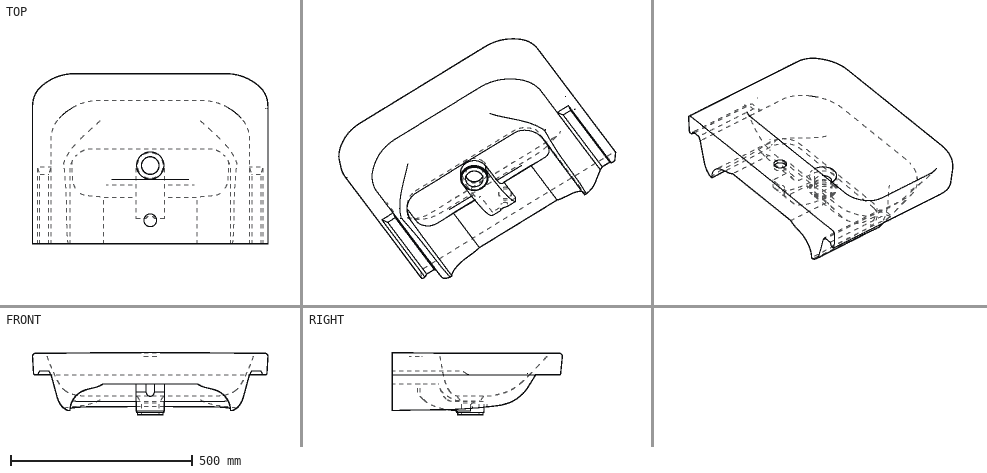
import cadquery as cq
import math


WIDTH = 650.0
DEPTH = 470.0
HEIGHT = 172.1
CROWN_RISE = 1.5
BASE_Z = CROWN_RISE - HEIGHT

RIM_HEIGHT = 60.5
RIM_CORNER = (118.0, 92.0)
SIDE_DRAFT = 3.0
FRONT_DRAFT = 5.0
RIM_TOP_RADIUS = 10.0
RIM_BOTTOM_RADIUS = 5.0

BASIN_LEVELS = [
    (0.0, 286.0, 130.0, 434.0, (78.0, 64.0)),
    (-30.0, 277.0, 136.0, 408.0, (84.0, 78.0)),
    (-60.0, 264.0, 141.0, 379.0, (88.0, 84.0)),
    (-90.0, 248.0, 150.0, 347.0, (92.0, 78.0)),
    (-110.0, 225.0, 162.0, 310.0, (95.0, 56.0)),
    (-118.0, 190.0, 177.0, 277.0, (85.0, 36.0)),
]
LIP_RADIUS = 7.0
SHELL_THICKNESS = 15.0

DECK_DEPTH = BASIN_LEVELS[0][2] - LIP_RADIUS
CROWN_HALF_WIDTH = 240.0
TAP_Y = 65.0
TAP_DIAMETER = 35.0
TAP_DEPTH = 10.0

HULL_TOP_Z = -50.0
FOOT_Z = -159.0
HULL_LEVELS = [
    (HULL_TOP_Z, 278.0, 401.0, (130.0, 110.0)),
    (-107.0, 262.0, 366.0, (165.0, 140.0)),
    (FOOT_Z, 250.0, 318.0, (190.0, 170.0)),
]
HULL_SIDE = [(277, HULL_TOP_Z), (268, -81), (261, -107), (251, -137), (239, -152), (227, FOOT_Z)]
HULL_FRONT = [(400, HULL_TOP_Z), (383, -84), (361, -112), (327, -136), (269, -148), (150, -156.5), (0, FOOT_Z)]
BELLY_Z = -147.0

RECESS_ROOF_Z = -85.0
RECESS_ROOF_HALF_WIDTH = 129.5
RECESS_FOOT_HALF_WIDTH = 221.0
RECESS_END_Y = 262.0
RECESS_END_RADIUS = 60.0

GROOVE_TOP_Z = -49.0
GROOVE_LENGTH = 212.0
GROOVE_END_RUN = 20.0
GROOVE_TOP_X = (280.0, 305.0)
GROOVE_BOTTOM_X = (273.5, 311.0)

DRAIN_Y = 216.0
DRAIN_DIAMETER = 48.0
DRAIN_SEAT_DIAMETER = 75.0
DRAIN_SEAT_DEPTH = 20.0
BOSS_DIAMETER = 71.0
COLLAR_DIAMETER = 76.0
COLLAR_Z = -164.0
RIB_BACK_Y = 70.0
RIB_WIDTH = 78.0
RIB_HEEL_Z = -107.5
RIB_TOE_Z = -160.0
RIB_TANGENTS = [(0.5, -1.0), (1.0, -0.1)]
NOTCH_DIAMETER = 25.0
NOTCH_LENGTH = 40.0


def corner(outline, center, start_direction, end_direction, radii):
    """Add a quarter ellipse that leaves along start_direction and arrives along end_direction."""
    reach_x, reach_y = radii
    out_x = start_direction[0] - end_direction[0]
    out_y = start_direction[1] - end_direction[1]
    diagonal = math.sqrt(0.5)
    middle = (center[0] + out_x * reach_x * diagonal, center[1] + out_y * reach_y * diagonal)
    end = (
        center[0] + start_direction[0] * reach_x,
        center[1] + start_direction[1] * reach_y,
    )
    return outline.spline([middle, end], tangents=[start_direction, end_direction], includeCurrent=True)


def front_rounded_outline(plane, half_width, front_y, radii):
    """Plan outline that is square at the back face and rounded at the front corners."""
    flat_x = half_width - radii[0]
    flat_y = front_y - radii[1]
    outline = plane.moveTo(-half_width, 0).lineTo(half_width, 0).lineTo(half_width, flat_y)
    outline = corner(outline, (flat_x, flat_y), (0, 1), (-1, 0), radii)
    outline = outline.lineTo(-flat_x, front_y)
    outline = corner(outline, (-flat_x, flat_y), (-1, 0), (0, -1), radii)
    return outline.close()


def rounded_outline(plane, half_width, back_y, front_y, radii):
    """Plan outline rounded at all four corners."""
    flat_x = half_width - radii[0]
    flat_back = back_y + radii[1]
    flat_front = front_y - radii[1]
    outline = plane.moveTo(-flat_x, back_y).lineTo(flat_x, back_y)
    outline = corner(outline, (flat_x, flat_back), (1, 0), (0, 1), radii)
    outline = outline.lineTo(half_width, flat_front)
    outline = corner(outline, (flat_x, flat_front), (0, 1), (-1, 0), radii)
    outline = outline.lineTo(-flat_x, front_y)
    outline = corner(outline, (-flat_x, flat_front), (-1, 0), (0, -1), radii)
    outline = outline.lineTo(-half_width, flat_back)
    outline = corner(outline, (-flat_x, flat_back), (0, -1), (1, 0), radii)
    return outline.close()


def loft_through(outlines, ruled=False):
    wires = [outline.val() for outline in outlines]
    return cq.Workplane(cq.Solid.makeLoft(wires, ruled))


def level(z):
    return cq.Workplane("XY", origin=(0, 0, z))


def cylinder(diameter, y, bottom_z, top_z):
    return level(bottom_z).center(0, y).circle(diameter / 2).extrude(top_z - bottom_z)


def rim_slab():
    rounding_share = RIM_TOP_RADIUS / (RIM_HEIGHT - RIM_TOP_RADIUS)
    top_half_width = WIDTH / 2 + SIDE_DRAFT * rounding_share
    top_front_y = DEPTH + FRONT_DRAFT * rounding_share
    top = front_rounded_outline(level(0), top_half_width, top_front_y, RIM_CORNER)
    bottom = front_rounded_outline(
        level(-RIM_HEIGHT), WIDTH / 2 - SIDE_DRAFT, DEPTH - FRONT_DRAFT, RIM_CORNER
    )
    slab = loft_through([top, bottom], ruled=True)
    slab = slab.faces(">Z").edges("not <Y").fillet(RIM_TOP_RADIUS)
    return slab.faces("<Z").edges("not <Y").fillet(RIM_BOTTOM_RADIUS)


def deck_crown():
    """Slight swelling of the deck that fades out toward the basin."""
    back = (
        cq.Workplane("XZ")
        .moveTo(-CROWN_HALF_WIDTH, 0)
        .threePointArc((0, CROWN_RISE), (CROWN_HALF_WIDTH, 0))
        .lineTo(CROWN_HALF_WIDTH, -RIM_TOP_RADIUS)
        .lineTo(-CROWN_HALF_WIDTH, -RIM_TOP_RADIUS)
        .close()
        .extrude(-DECK_DEPTH)
    )
    slope = (
        cq.Workplane("YZ")
        .polyline([(0, -RIM_TOP_RADIUS), (0, CROWN_RISE), (DECK_DEPTH, 0), (DECK_DEPTH, -RIM_TOP_RADIUS)])
        .close()
        .extrude(CROWN_HALF_WIDTH, both=True)
    )
    return back.intersect(slope)


def hull():
    """Rounded bowl shape trimmed to its side curve, arched underside and front curve."""
    rough = loft_through(
        [front_rounded_outline(level(z), half, front, radii) for z, half, front, radii in HULL_LEVELS]
    )
    left_side = [(-x, z) for x, z in reversed(HULL_SIDE)]
    across = (
        cq.Workplane("XZ")
        .moveTo(*HULL_SIDE[0])
        .spline(HULL_SIDE[1:], includeCurrent=True)
        .lineTo(RECESS_FOOT_HALF_WIDTH, FOOT_Z)
        .threePointArc((0, BELLY_Z), (-RECESS_FOOT_HALF_WIDTH, FOOT_Z))
        .lineTo(*left_side[0])
        .spline(left_side[1:], includeCurrent=True)
        .close()
        .extrude(-DEPTH)
    )
    along = (
        cq.Workplane("YZ")
        .moveTo(0, HULL_TOP_Z)
        .lineTo(*HULL_FRONT[0])
        .spline(HULL_FRONT[1:], includeCurrent=True)
        .close()
        .extrude(WIDTH / 2, both=True)
    )
    return rough.intersect(across).intersect(along)


def basin(growth=0.0):
    """Basin cavity; a growth moves its walls and floor outward."""
    return loft_through(
        [
            rounded_outline(level(z - growth), half + growth, back - growth, front + growth, radii)
            for z, half, back, front, radii in BASIN_LEVELS
        ]
    )


def back_recess():
    roof = RECESS_ROOF_HALF_WIDTH
    foot = RECESS_FOOT_HALF_WIDTH
    shoulder = [(148, -94), (183, -103), (211, -125), (foot, FOOT_Z)]
    mirrored = [(-x, z) for x, z in reversed(shoulder)]
    arch = (
        cq.Workplane("XZ")
        .moveTo(-roof, RECESS_ROOF_Z)
        .lineTo(roof, RECESS_ROOF_Z)
        .spline(shoulder, includeCurrent=True)
        .lineTo(-foot, FOOT_Z)
        .spline(mirrored[1:] + [(-roof, RECESS_ROOF_Z)], includeCurrent=True)
        .close()
        .extrude(-RECESS_END_Y)
    )
    plan = front_rounded_outline(
        level(FOOT_Z), foot, RECESS_END_Y, (RECESS_END_RADIUS, RECESS_END_RADIUS)
    ).extrude(RECESS_ROOF_Z - FOOT_Z)
    return arch.intersect(plan).cut(basin(SHELL_THICKNESS))


def rim_groove(side):
    inner_top, outer_top = GROOVE_TOP_X
    inner_bottom, outer_bottom = GROOVE_BOTTOM_X
    trough = (
        cq.Workplane("XZ")
        .polyline(
            [
                (side * inner_bottom, -RIM_HEIGHT),
                (side * inner_top, GROOVE_TOP_Z),
                (side * outer_top, GROOVE_TOP_Z),
                (side * outer_bottom, -RIM_HEIGHT),
            ]
        )
        .close()
        .extrude(-GROOVE_LENGTH)
    )
    sloped_end = (
        cq.Workplane("YZ")
        .polyline(
            [
                (0, -RIM_HEIGHT),
                (0, GROOVE_TOP_Z),
                (GROOVE_LENGTH - GROOVE_END_RUN, GROOVE_TOP_Z),
                (GROOVE_LENGTH, -RIM_HEIGHT),
            ]
        )
        .close()
        .extrude(WIDTH / 2, both=True)
    )
    return trough.intersect(sloped_end)


def overflow_rib():
    """Rib from the deck down to the drain boss, notched below the tap hole."""
    rib = (
        cq.Workplane("YZ")
        .moveTo(RIB_BACK_Y, RECESS_ROOF_Z)
        .lineTo(RIB_BACK_Y, RIB_HEEL_Z)
        .spline([(DRAIN_Y - BOSS_DIAMETER / 2, RIB_TOE_Z)], tangents=RIB_TANGENTS, includeCurrent=True)
        .lineTo(DRAIN_Y, RIB_TOE_Z)
        .lineTo(DRAIN_Y, RECESS_ROOF_Z)
        .close()
        .extrude(RIB_WIDTH / 2, both=True)
    )
    return rib.cut(cylinder(NOTCH_DIAMETER, TAP_Y, RECESS_ROOF_Z - NOTCH_LENGTH, RECESS_ROOF_Z))


def drain_boss():
    boss = cylinder(BOSS_DIAMETER, DRAIN_Y, BASE_Z, COLLAR_Z)
    return boss.union(cylinder(COLLAR_DIAMETER, DRAIN_Y, COLLAR_Z, BASIN_LEVELS[-1][0]))


def drain_hole():
    floor_z = BASIN_LEVELS[-1][0]
    seat = cq.Workplane(
        cq.Solid.makeCone(
            DRAIN_DIAMETER / 2,
            DRAIN_SEAT_DIAMETER / 2,
            DRAIN_SEAT_DEPTH,
            pnt=cq.Vector(0, DRAIN_Y, floor_z - DRAIN_SEAT_DEPTH),
        )
    )
    return seat.union(cylinder(DRAIN_DIAMETER, DRAIN_Y, BASE_Z, floor_z))


def basin_lip(body):
    """Round the edge where the basin meets the rim."""
    half, back, front = BASIN_LEVELS[0][1:4]
    zone = cq.selectors.BoxSelector((-half - 1, back - 1, -1), (half + 1, front + 1, 1))
    return body.edges(zone).fillet(LIP_RADIUS)


body = rim_slab().union(hull())
for side in (-1, 1):
    body = body.cut(rim_groove(side))
body = body.cut(back_recess())
body = body.union(overflow_rib()).union(drain_boss())
body = body.cut(basin())
body = basin_lip(body)
body = body.union(deck_crown())
body = body.cut(cylinder(TAP_DIAMETER, TAP_Y, -TAP_DEPTH, CROWN_RISE))
result = body.cut(drain_hole())